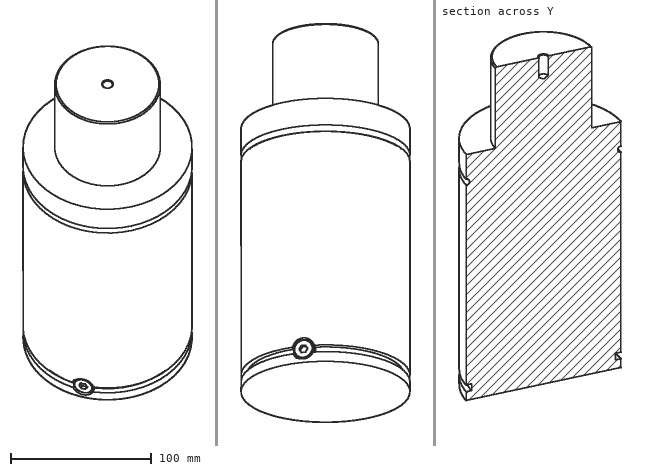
import cadquery as cq
import math

height = 266.0
body_radius = 120.0 / 2
shoulder_z = 200.0

rod_radius = 75.0 / 2
rod_chamfer = 1.0

upper_groove_z = 177.5
upper_groove_radius = 2.5

lower_groove_bottom = 7.5
lower_groove_top = 12.5
lower_groove_depth = 4.0

rod_hole_diameter = 7.0
rod_hole_chamfer = 0.5
rod_hole_depth = 16.0
drill_tip_angle = 118

plug_z = 10.6
pocket_diameter = 16.0
pocket_depth = 4.8
plug_diameter = 14.0
plug_recess = 0.8
plug_chamfer = 0.5
socket_across_corners = 6.0
socket_depth = 2.7


def make_body():
    body = cq.Workplane("XY").circle(body_radius).extrude(shoulder_z)
    rod = cq.Workplane("XY").circle(rod_radius).extrude(height)
    rod = rod.faces(">Z").chamfer(rod_chamfer)
    return body.union(rod)


def make_upper_groove():
    return cq.Workplane("XY").add(
        cq.Solid.makeTorus(body_radius, upper_groove_radius, cq.Vector(0, 0, upper_groove_z))
    )


def make_lower_groove():
    return (
        cq.Workplane("XY", origin=(0, 0, lower_groove_bottom))
        .circle(body_radius + lower_groove_depth)
        .circle(body_radius - lower_groove_depth)
        .extrude(lower_groove_top - lower_groove_bottom)
    )


def make_rod_hole():
    radius = rod_hole_diameter / 2
    tip_length = radius / math.tan(math.radians(drill_tip_angle / 2))
    floor_z = height - rod_hole_depth
    return (
        cq.Workplane("XZ")
        .moveTo(0, height)
        .lineTo(radius + rod_hole_chamfer, height)
        .lineTo(radius, height - rod_hole_chamfer)
        .lineTo(radius, floor_z)
        .lineTo(0, floor_z - tip_length)
        .close()
        .revolve(360, (0, 0, 0), (0, 1, 0))
    )


def fit_plug(part):
    pocket_floor = body_radius - pocket_depth
    base = cq.Workplane("XZ", origin=(0, -pocket_floor, plug_z))
    pocket = base.circle(pocket_diameter / 2).extrude(2 * pocket_depth)
    plug = base.circle(plug_diameter / 2).extrude(pocket_depth - plug_recess)
    plug = plug.faces("<Y").chamfer(plug_chamfer)
    plug = plug.faces("<Y").workplane().polygon(6, socket_across_corners).cutBlind(-socket_depth)
    return part.cut(pocket).union(plug)


result = make_body().cut(make_upper_groove()).cut(make_lower_groove())
result = result.cut(make_rod_hole())
result = fit_plug(result)